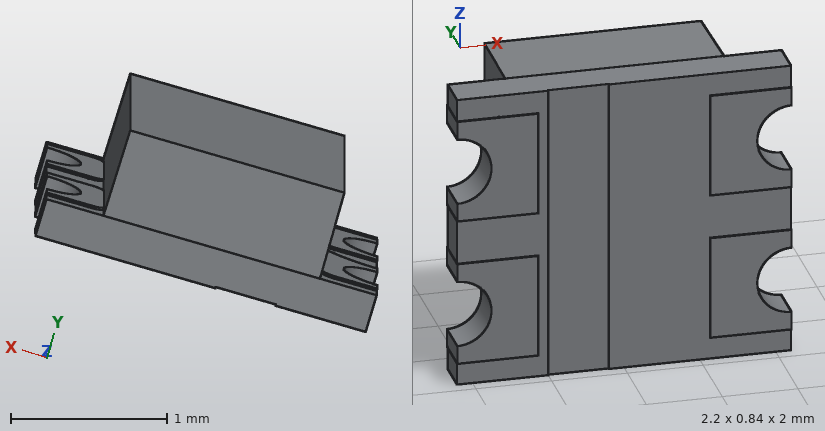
import cadquery as cq
import math

WIDTH = 2.204
LENGTH = 2.0
HEIGHT = 0.84
EDGE = WIDTH / 2

FRONT_FOIL = 0.01
REAR_FOIL = 0.015
BOARD_THICKNESS = 0.25
BOARD_FRONT = FRONT_FOIL
BOARD_REAR = BOARD_FRONT + BOARD_THICKNESS

LENS_WIDTH = 1.445
LENS_EDGE = LENS_WIDTH / 2
LENS_DRAFT = 0.75

STRIPE_WIDTH = 0.4
STRIPE_CENTER = -0.3
STRIPE_DEPTH = 0.008

PITCH = 1.0
PAD_LENGTH = 0.7
PAD_WIDTH = 0.535
CORE_WIDTH = 0.28
SCALLOP_RADIUS = 0.225
LEFT_CORNER_RADIUS = 0.1
RIGHT_CORNER_RADIUS = 0.075
FLARE_RADIUS = 0.5


def box(x_start, x_end, y_start, y_end, z_start, z_end):
    """Axis-aligned block between two opposite corners."""
    size = (x_end - x_start, y_end - y_start, z_end - z_start)
    return cq.Workplane("XY").box(*size, centered=False).translate((x_start, y_start, z_start))


def plate(outline, y_start, y_end):
    """Extrude a closed outline drawn in X and Z from y_start to y_end."""
    return outline.extrude(-(y_end - y_start)).translate((0, y_start, 0))


def rear_foil(corner_radius):
    """Foil of a left terminal reaching the lens, with rounded inner corners."""
    half = PAD_LENGTH / 2
    foil = box(-EDGE, -LENS_EDGE, BOARD_REAR, BOARD_REAR + REAR_FOIL, -half, half)
    return foil.edges("|Y and >X").fillet(corner_radius)


def flare():
    """Foil extension whose concave arc leaves the upper pad edge at the board edge and rises to the lens."""
    foot = PAD_LENGTH / 2
    reach = EDGE - LENS_EDGE

    def arc_point(angle):
        x = -EDGE + FLARE_RADIUS * math.sin(angle)
        z = foot + FLARE_RADIUS * (1 - math.cos(angle))
        return x, z

    end_angle = math.asin(reach / FLARE_RADIUS)
    outline = (
        cq.Workplane("XZ")
        .moveTo(-EDGE, foot)
        .threePointArc(arc_point(end_angle / 2), arc_point(end_angle))
        .lineTo(-LENS_EDGE, 0)
        .lineTo(-EDGE, 0)
        .close()
    )
    return plate(outline, BOARD_REAR, BOARD_REAR + REAR_FOIL)


def terminal_core():
    """Block of a left terminal that fills its notch in the board edge."""
    half = PAD_LENGTH / 2
    return box(-EDGE, -EDGE + CORE_WIDTH, BOARD_FRONT, BOARD_REAR, -half, half)


def make_terminal(corner_radius, flared):
    """Left terminal centred on Z = 0: front pad, core through the board and rear foil, with a scallop."""
    half = PAD_LENGTH / 2
    body = box(-EDGE, -EDGE + PAD_WIDTH, 0, BOARD_FRONT, -half, half)
    body = body.union(terminal_core()).union(rear_foil(corner_radius))
    if flared:
        body = body.union(flare())
    scallop = plate(cq.Workplane("XZ").center(-EDGE, 0).circle(SCALLOP_RADIUS), 0, BOARD_REAR + REAR_FOIL)
    return body.cut(scallop)


def place(left_body, side, row):
    """Move a left-hand body to its side (-1 left, 1 right) and row (-1 lower, 1 upper)."""
    body = left_body.mirror("YZ") if side > 0 else left_body
    return body.translate((0, 0, row * PITCH / 2))


POSITIONS = [(side, row) for side in (-1, 1) for row in (-1, 1)]


def make_board():
    """Board with a notch for each terminal and the stripe recess on its mounting face."""
    board = box(-EDGE, EDGE, BOARD_FRONT, BOARD_REAR, -LENGTH / 2, LENGTH / 2)
    for side, row in POSITIONS:
        board = board.cut(place(terminal_core(), side, row))
    stripe = box(
        STRIPE_CENTER - STRIPE_WIDTH / 2,
        STRIPE_CENTER + STRIPE_WIDTH / 2,
        BOARD_FRONT,
        BOARD_FRONT + STRIPE_DEPTH,
        -LENGTH / 2,
        LENGTH / 2,
    )
    return board.cut(stripe)


def make_lens():
    """Block on the rear of the board, tapering slightly toward its free face."""
    outline = cq.Workplane("XZ").rect(LENS_WIDTH, LENGTH)
    return outline.extrude(-(HEIGHT - BOARD_REAR), taper=LENS_DRAFT).translate((0, BOARD_REAR, 0))


board = make_board()
lens = make_lens()
terminals = []
for side, row in POSITIONS:
    radius = LEFT_CORNER_RADIUS if side < 0 else RIGHT_CORNER_RADIUS
    flared = (side, row) == (-1, -1)
    terminals.append(place(make_terminal(radius, flared), side, row).val())

result = cq.Compound.makeCompound([board.val(), lens.val(), *terminals])